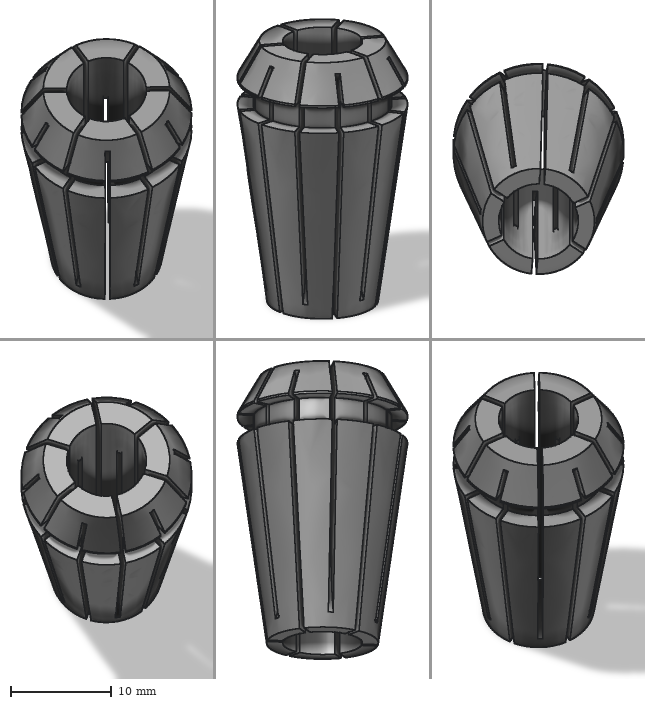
import cadquery as cq
import math

length = 27.5
max_radius = 8.5
bore_radius = 3.95
slot_width = 0.5
slots_per_end = 6

taper_top = 20.8
taper_half_angle = 8
tail_radius = max_radius - taper_top * math.tan(math.radians(taper_half_angle))

neck_radius = 6.93
head_bottom = 23.48
rim_height = 0.22
head_half_angle = 30
rim_top = head_bottom + rim_height
face_radius = max_radius - (length - rim_top) * math.tan(math.radians(head_half_angle))

saw_radius = 25.0
upper_slot_bore_end = 8.25
upper_slot_outer_end = 1.5
lower_slot_bore_end = 20.7
lower_slot_outer_end = 26.48

overrun = 1.38


def radius_on_cone(z, z_low, radius_low, z_high, radius_high):
    """Radius at height z of a straight cone between two known circles."""
    return radius_low + (radius_high - radius_low) * (z - z_low) / (z_high - z_low)


def revolved_body():
    """Hollow collet: tapered body, groove, rim and conical head around a plain bore."""
    return (
        cq.Workplane("XZ")
        .moveTo(bore_radius, 0)
        .lineTo(tail_radius, 0)
        .lineTo(max_radius, taper_top)
        .lineTo(neck_radius, taper_top)
        .lineTo(neck_radius, head_bottom)
        .lineTo(max_radius, head_bottom)
        .lineTo(max_radius, rim_top)
        .lineTo(face_radius, length)
        .lineTo(bore_radius, length)
        .close()
        .revolve(360, (0, 0, 0), (0, 1, 0))
    )


def slot_cutter(bore_end, outer_end, outer_end_radius, open_end, arc_radius):
    """Thin radial blade along +X, open at one end and rounded by the saw at the other.

    The sign of arc_radius picks the side to which the arc bulges; both slot sets bulge into the wall.
    """
    bore_at_slot_side = math.sqrt(bore_radius**2 - (slot_width / 2) ** 2)
    inner = bore_radius - overrun
    outer = max_radius + overrun
    return (
        cq.Workplane("XZ")
        .moveTo(inner, open_end)
        .lineTo(inner, bore_end)
        .lineTo(bore_at_slot_side, bore_end)
        .radiusArc((outer_end_radius, outer_end), arc_radius)
        .lineTo(outer, outer_end)
        .lineTo(outer, open_end)
        .close()
        .extrude(slot_width / 2, both=True)
    )


upper_slot = slot_cutter(
    upper_slot_bore_end,
    upper_slot_outer_end,
    radius_on_cone(upper_slot_outer_end, 0, tail_radius, taper_top, max_radius),
    length + overrun,
    -saw_radius,
)
lower_slot = slot_cutter(
    lower_slot_bore_end,
    lower_slot_outer_end,
    radius_on_cone(lower_slot_outer_end, rim_top, max_radius, length, face_radius),
    -overrun,
    saw_radius,
)

slot_pitch = 360 / slots_per_end
result = revolved_body()
for index in range(slots_per_end):
    angle = index * slot_pitch
    result = result.cut(upper_slot.rotate((0, 0, 0), (0, 0, 1), angle))
    result = result.cut(lower_slot.rotate((0, 0, 0), (0, 0, 1), angle + slot_pitch / 2))